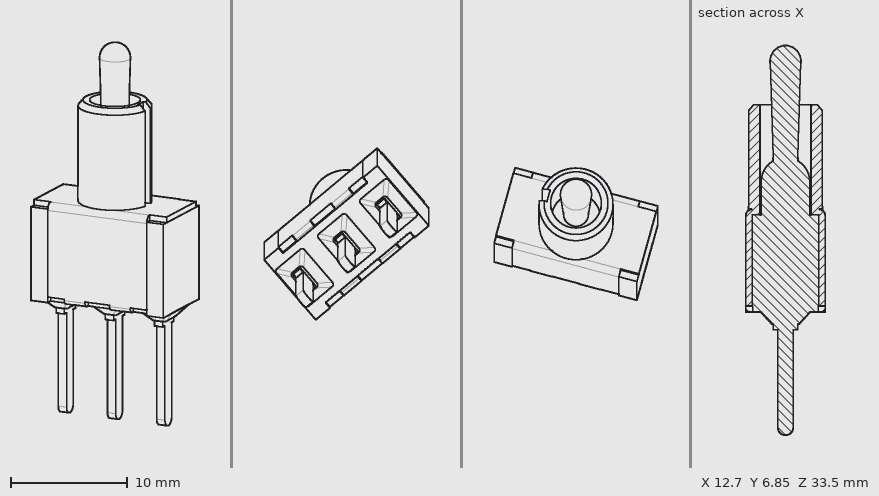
import cadquery as cq
import math

TOTAL_HEIGHT = 33.45
BUSHING_TOP = 28.37
BALL_CENTRE = 21.75
FRAME_TOP = 19.4
BASE_BOTTOM = 10.57
FLARE_BOTTOM = 9.55
SHOULDER_BOTTOM = 9.05

CASE_LENGTH = 12.7
CASE_DEPTH = 6.85

PLATE_THICKNESS = 0.5
SIDE_THICKNESS = 0.6
SIDE_LENGTH = 9.5
SIDE_BEND_RADIUS = 0.6
TAB_HEIGHT = 0.5
TAB_LENGTH = 2.0
TAB_OFFSET = 2.17
TAB_BEND_RADIUS = 0.4

BUSHING_RADIUS = 3.18
BUSHING_CHAMFER_HEIGHT = 0.5
BUSHING_CHAMFER_WIDTH = 0.45
BORE_RADIUS = 2.17
KEYWAY_WIDTH = 1.05
KEYWAY_FLOOR = 2.45

PIN_PITCH = 4.72
PIN_WIDTH = 0.8
PIN_DEPTH = 1.35
SHOULDER_DEPTH = 2.15
FLARE_TOP_LENGTH = 3.15
FLARE_TOP_DEPTH = 4.25
FLARE_BOTTOM_LENGTH = 1.27
FLARE_BOTTOM_DEPTH = 2.35
FLARE_CORNER_RADIUS = 0.4

LEVER_CLEARANCE = 0.07
TIP_RADIUS = 1.35
STEM_BASE_RADIUS = 1.07

BASE_TOP = FRAME_TOP - PLATE_THICKNESS
CORE_DEPTH = CASE_DEPTH - 2 * SIDE_THICKNESS
BALL_RADIUS = BORE_RADIUS - LEVER_CLEARANCE


def block(length, depth, bottom, top, x=0.0, y=0.0):
    """Upright box centred at (x, y) between two heights."""
    return (
        cq.Workplane("XY", origin=(x, y, bottom))
        .box(length, depth, top - bottom, centered=(True, True, False))
    )


def make_side_plates():
    """Side plates with rounded top bends, each ending in two tabs rounded at the bottom."""
    plates = (
        block(SIDE_LENGTH, CASE_DEPTH, BASE_BOTTOM + TAB_HEIGHT, FRAME_TOP)
        .edges("|X and >Z")
        .fillet(SIDE_BEND_RADIUS)
    )
    for side in (-1, 1):
        tab = (
            block(TAB_LENGTH, CASE_DEPTH, BASE_BOTTOM, BASE_BOTTOM + 2 * TAB_HEIGHT, side * TAB_OFFSET)
            .edges("|X and <Z")
            .fillet(TAB_BEND_RADIUS)
        )
        plates = plates.union(tab)
    return plates.cut(block(CASE_LENGTH, CORE_DEPTH, BASE_BOTTOM, BASE_TOP))


def make_bushing():
    """Chamfered cylinder with a keyway down its +X side."""
    bushing = (
        cq.Workplane("XY", origin=(0, 0, FRAME_TOP))
        .circle(BUSHING_RADIUS)
        .extrude(BUSHING_TOP - FRAME_TOP)
    )
    chamfer_tool = (
        cq.Workplane("XZ")
        .moveTo(BUSHING_RADIUS, BUSHING_TOP - BUSHING_CHAMFER_HEIGHT)
        .lineTo(BUSHING_RADIUS, BUSHING_TOP)
        .lineTo(BUSHING_RADIUS - BUSHING_CHAMFER_WIDTH, BUSHING_TOP)
        .close()
        .revolve(360, (0, 0, 0), (0, 1, 0))
    )
    keyway_centre = KEYWAY_FLOOR + BUSHING_RADIUS / 2
    keyway = block(BUSHING_RADIUS, KEYWAY_WIDTH, FRAME_TOP, BUSHING_TOP, keyway_centre)
    return bushing.cut(chamfer_tool).cut(keyway)


def make_frame():
    """Folded frame with its bushing, bored through for the lever."""
    top_plate = block(CASE_LENGTH, CORE_DEPTH, BASE_TOP, FRAME_TOP)
    bore = (
        cq.Workplane("XY", origin=(0, 0, BASE_TOP))
        .circle(BORE_RADIUS)
        .extrude(BUSHING_TOP - BASE_TOP)
    )
    return top_plate.union(make_side_plates()).union(make_bushing()).cut(bore)


def make_base_block():
    """Full-depth block recessed along both long sides for the frame."""
    core = block(CASE_LENGTH, CORE_DEPTH, BASE_BOTTOM, BASE_TOP)
    end_posts = (
        block(CASE_LENGTH, CASE_DEPTH, BASE_BOTTOM, BASE_TOP)
        .cut(block(SIDE_LENGTH, CASE_DEPTH, BASE_BOTTOM, BASE_TOP))
    )
    return core.union(end_posts)


def make_terminal(x):
    """Tapered flare with rounded corners, shoulder and flat pin with a round tip."""
    flare = (
        cq.Workplane("XY", origin=(x, 0, FLARE_BOTTOM))
        .rect(FLARE_BOTTOM_LENGTH, FLARE_BOTTOM_DEPTH)
        .workplane(offset=BASE_BOTTOM - FLARE_BOTTOM)
        .rect(FLARE_TOP_LENGTH, FLARE_TOP_DEPTH)
        .loft(ruled=True)
        .edges("not #Z")
        .fillet(FLARE_CORNER_RADIUS)
    )
    shoulder = block(PIN_WIDTH, SHOULDER_DEPTH, SHOULDER_BOTTOM, FLARE_BOTTOM, x)
    half_depth = PIN_DEPTH / 2
    pin = (
        cq.Workplane("YZ", origin=(x - PIN_WIDTH / 2, 0, 0))
        .moveTo(-half_depth, SHOULDER_BOTTOM)
        .lineTo(-half_depth, half_depth)
        .threePointArc((0, 0), (half_depth, half_depth))
        .lineTo(half_depth, SHOULDER_BOTTOM)
        .close()
        .extrude(PIN_WIDTH)
    )
    return flare.union(shoulder).union(pin)


def make_lever():
    """Stem that widens towards its round tip, on a domed column rising from the base."""
    tip_centre = TOTAL_HEIGHT - TIP_RADIUS
    stem_base = BALL_CENTRE + math.sqrt(BALL_RADIUS**2 - STEM_BASE_RADIUS**2)
    diagonal = math.sqrt(0.5)
    profile = (
        cq.Workplane("XZ")
        .moveTo(0, BASE_TOP)
        .lineTo(BALL_RADIUS, BASE_TOP)
        .lineTo(BALL_RADIUS, BALL_CENTRE)
        .threePointArc(
            (BALL_RADIUS * diagonal, BALL_CENTRE + BALL_RADIUS * diagonal),
            (STEM_BASE_RADIUS, stem_base),
        )
        .lineTo(TIP_RADIUS, tip_centre)
        .threePointArc(
            (TIP_RADIUS * diagonal, tip_centre + TIP_RADIUS * diagonal),
            (0, TOTAL_HEIGHT),
        )
        .close()
    )
    return profile.revolve(360, (0, 0, 0), (0, 1, 0))


def make_base():
    """Base block with its three terminals and the lever."""
    base = make_base_block().union(make_lever())
    for position in (-1, 0, 1):
        base = base.union(make_terminal(position * PIN_PITCH))
    return base


frame = make_frame()
base = make_base()

result = cq.Compound.makeCompound([frame.val(), base.val()])